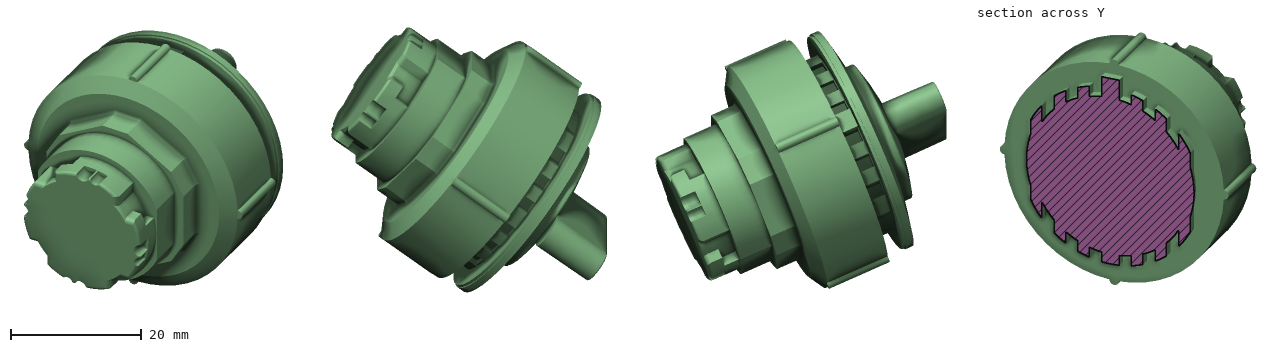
import cadquery as cq
import math


LENGTH = 43.3
BARREL_END = 5.0
COLLAR_END = 10.3
RING_FRONT = 14.38
RING_CONE_END = 15.85
RING_BACK = 26.05
TEETH_END = 28.8
BEZEL_FRONT = 29.0
BEZEL_STEP = 29.5
BEZEL_RIM_END = 30.65
BEZEL_BACK = 31.55
KNOB_EDGE = 33.6
DOME_TOP = 35.3

BARREL_RADIUS = 10.4
BARREL_RIM_ROUND = 0.48
SLOT_FLOOR_RADIUS = 9.1
SLOT_FLOOR_BEVEL = (0.48, 0.2)
SLOT_WALL_X = 6.32
SLOT_WALL_Z = 4.95
SLOT_LOCK_Z = 2.95
SLOT_WALL_ROUND = 0.82
SLOT_REACH = BARREL_RADIUS + 0.85
NOTCH_DEPTH = 2.5
SLOT_LOCK_START = NOTCH_DEPTH
NOTCH_BOTTOM_RADIUS = 9.35
WIDE_NOTCH = (0.2, 1.13)
NARROW_NOTCH = (2.42, 0.85)

COLLAR_DIAMETER = 23.0
COLLAR_FLATS = 21.0
NUT_FLATS = 24.25
NUT_CORNER_FLATS = 25.45
NUT_FLARE = 0.5
RING_DIAMETER = 36.98
RING_FRONT_DIAMETER = 32.15
RING_SPAN = 38.5
RIB_RADIUS = 0.8

NECK_DIAMETER = 29.0
NECK_SMALL_DIAMETER = 27.55
CORE_RADIUS = 13.42
TOOTH_TIP_RADIUS = 15.05
TOOTH_WIDTH = 2.0
KEY_WIDTH = 3.05
KEY_TOP = 16.7
TOOTH_ROWS = 3

BEZEL_DIAMETER = 36.0
BEZEL_STEP_DIAMETER = 35.5
BEZEL_BACK_DIAMETER = 27.97
KNOB_DIAMETER = 22.4
KNOB_EDGE_ROUND = 0.2
HANDLE_WIDTH = 5.35
HANDLE_LENGTH = 22.5
HANDLE_CENTER_Z = -3.05
HANDLE_DRAFT = 0.7
HANDLE_TIP_ROUND = 0.25


def plane_at(y):
    """Sketch plane across the axis: local x is X, local y is Z, negative depths run toward +Y."""
    return cq.Workplane(cq.Plane(origin=(0, y, 0), xDir=(1, 0, 0), normal=(0, -1, 0)))


def disc(diameter, start, end):
    return plane_at(start).circle(diameter / 2).extrude(start - end)


def block(x_range, y_range, z_range):
    """Box between the given limits."""
    size = [high - low for low, high in (x_range, y_range, z_range)]
    corner = (x_range[0], y_range[0], z_range[0])
    return cq.Workplane("XY").box(*size, centered=False).translate(corner)


def quarter_turns(shape):
    """The shape repeated four times around the axis."""
    ring = shape
    for turn in range(1, 4):
        ring = ring.union(shape.rotate((0, 0, 0), (0, 1, 0), 90 * turn))
    return ring


def make_turned_body():
    """Ring, neck, bezel and domed knob as one revolved profile."""
    knob_radius = KNOB_DIAMETER / 2
    dome_rise = DOME_TOP - KNOB_EDGE
    dome_edge_radius = knob_radius - KNOB_EDGE_ROUND
    dome_radius = (dome_edge_radius**2 + dome_rise**2) / (2 * dome_rise)
    mid_x = dome_edge_radius / 2
    mid_y = DOME_TOP - dome_radius + math.sqrt(dome_radius**2 - mid_x**2)
    return (
        cq.Workplane("XY")
        .moveTo(0, RING_FRONT)
        .lineTo(RING_FRONT_DIAMETER / 2, RING_FRONT)
        .lineTo(RING_DIAMETER / 2, RING_CONE_END)
        .lineTo(RING_DIAMETER / 2, RING_BACK)
        .lineTo(CORE_RADIUS, RING_BACK)
        .lineTo(CORE_RADIUS, TEETH_END)
        .lineTo(NECK_DIAMETER / 2, TEETH_END)
        .lineTo(NECK_DIAMETER / 2, BEZEL_FRONT)
        .lineTo(BEZEL_STEP_DIAMETER / 2, BEZEL_FRONT)
        .lineTo(BEZEL_STEP_DIAMETER / 2, BEZEL_STEP)
        .lineTo(BEZEL_DIAMETER / 2, BEZEL_STEP)
        .lineTo(BEZEL_DIAMETER / 2, BEZEL_RIM_END)
        .lineTo(BEZEL_BACK_DIAMETER / 2, BEZEL_BACK)
        .lineTo(knob_radius, BEZEL_BACK)
        .lineTo(knob_radius, KNOB_EDGE - KNOB_EDGE_ROUND)
        .radiusArc((dome_edge_radius, KNOB_EDGE), -KNOB_EDGE_ROUND)
        .threePointArc((mid_x, mid_y), (0, DOME_TOP))
        .close()
        .revolve(360, (0, 0, 0), (0, 1, 0))
    )


def make_ribs():
    """Four round ribs along the outside of the ring."""
    rib = disc(2 * RIB_RADIUS, RING_CONE_END, RING_BACK)
    return quarter_turns(rib.translate((0, 0, RING_SPAN / 2 - RIB_RADIUS)))


def make_neck_sides():
    """Conical cheeks on the +X and -X sides of the neck, outside the teeth."""
    cone = (
        plane_at(TEETH_END)
        .circle(NECK_DIAMETER / 2)
        .workplane(offset=TEETH_END - RING_BACK)
        .circle(NECK_SMALL_DIAMETER / 2)
        .loft()
    )
    inner_x = KEY_WIDTH / 2 + 2 * TOOTH_ROWS * TOOTH_WIDTH
    return cone.cut(block((-inner_x, inner_x), (RING_BACK, TEETH_END), (-NECK_DIAMETER, NECK_DIAMETER)))


def make_teeth():
    """Straight-sided teeth above and below the neck, with a taller key at the top."""
    tip_disc = disc(2 * TOOTH_TIP_RADIUS, RING_BACK, TEETH_END)
    length = (RING_BACK, TEETH_END)
    full_height = (-TOOTH_TIP_RADIUS, TOOTH_TIP_RADIUS)
    half_key = KEY_WIDTH / 2
    columns = block((-half_key, half_key), length, full_height)
    for row in range(TOOTH_ROWS):
        inner_x = half_key + (2 * row + 1) * TOOTH_WIDTH
        outer_x = inner_x + TOOTH_WIDTH
        columns = columns.union(block((inner_x, outer_x), length, full_height))
        columns = columns.union(block((-outer_x, -inner_x), length, full_height))
    key = block((-half_key, half_key), length, (0, KEY_TOP))
    return columns.intersect(tip_disc).union(key)


def nut_hexagon(flats, turn):
    """Hexagonal prism as long as the nut; at a turn of 0 two of its flats face +X and -X."""
    across_corners = flats / math.cos(math.radians(30))
    prism = plane_at(COLLAR_END).polygon(6, across_corners).extrude(COLLAR_END - RING_FRONT)
    return prism.rotate((0, 0, 0), (0, 1, 0), 30 + turn)


def make_nut():
    """Hexagon with trimmed corners, flaring where it meets the ring."""
    nut = nut_hexagon(NUT_FLATS, 0)
    return nut.intersect(nut_hexagon(NUT_CORNER_FLATS, 30))


def make_collar():
    """Round collar with two flats."""
    collar = disc(COLLAR_DIAMETER, BARREL_END, COLLAR_END)
    half_flats = COLLAR_FLATS / 2
    half_height = COLLAR_DIAMETER / 2
    flats = block((-half_flats, half_flats), (BARREL_END, COLLAR_END), (-half_height, half_height))
    return collar.intersect(flats)


def make_slot_cutter():
    """L-shaped bayonet slot with rounded entry walls, kept outside the barrel core."""
    wall_x, wall_z, entry = SLOT_WALL_X, SLOT_WALL_Z, SLOT_WALL_ROUND
    entry_opening = block((wall_x, SLOT_REACH), (0, BARREL_END), (wall_z, SLOT_REACH))
    lock = block((wall_x, SLOT_REACH), (SLOT_LOCK_START, BARREL_END), (SLOT_LOCK_Z, SLOT_REACH))

    x_entry = block((wall_x - entry, wall_x), (0, entry), (wall_z, SLOT_REACH))
    x_round = cq.Workplane("XY").center(wall_x - entry, entry).circle(entry).extrude(SLOT_REACH)
    z_entry = block((wall_x, SLOT_REACH), (0, entry), (wall_z - entry, wall_z))
    z_round = cq.Workplane("YZ").center(entry, wall_z - entry).circle(entry).extrude(SLOT_REACH)

    core = disc(2 * SLOT_FLOOR_RADIUS, 0, BARREL_END).faces("<Y").edges().chamfer(*SLOT_FLOOR_BEVEL)
    opening = entry_opening.union(lock).union(x_entry.cut(x_round)).union(z_entry.cut(z_round))
    return opening.cut(core)


def make_notch_cutter(offset, radius):
    """Round-bottomed groove running back from the plunger face."""
    return disc(2 * radius, 0, NOTCH_DEPTH).translate((offset, 0, NOTCH_BOTTOM_RADIUS + radius))


def make_barrel():
    barrel = disc(2 * BARREL_RADIUS, 0, BARREL_END)
    barrel = barrel.faces("<Y").edges().fillet(BARREL_RIM_ROUND)
    cutters = [make_slot_cutter(), make_notch_cutter(*WIDE_NOTCH), make_notch_cutter(*NARROW_NOTCH)]
    for cutter in cutters:
        barrel = barrel.cut(quarter_turns(cutter))
    return barrel


def make_handle():
    """Drafted grip with round ends, hanging past the knob toward -Z."""
    return (
        plane_at(KNOB_EDGE)
        .center(0, HANDLE_CENTER_Z)
        .slot2D(HANDLE_LENGTH, HANDLE_WIDTH, 90)
        .extrude(KNOB_EDGE - LENGTH, taper=HANDLE_DRAFT)
        .faces(">Y")
        .edges()
        .fillet(HANDLE_TIP_ROUND)
    )


def make_ring_with_nut():
    """Turned body joined to the nut, with a round flare at the foot of the nut."""
    foot_zone = cq.selectors.BoxSelector(
        (-RING_FRONT_DIAMETER / 2, RING_FRONT - NUT_FLARE / 2, -RING_FRONT_DIAMETER / 2),
        (RING_FRONT_DIAMETER / 2, RING_FRONT + NUT_FLARE / 2, RING_FRONT_DIAMETER / 2),
    )
    joined = make_turned_body().union(make_nut())
    return joined.edges(foot_zone).edges("%LINE").fillet(NUT_FLARE)


result = make_ring_with_nut()
for section in (
    make_ribs(),
    make_neck_sides(),
    make_teeth(),
    make_collar(),
    make_barrel(),
    make_handle(),
):
    result = result.union(section)